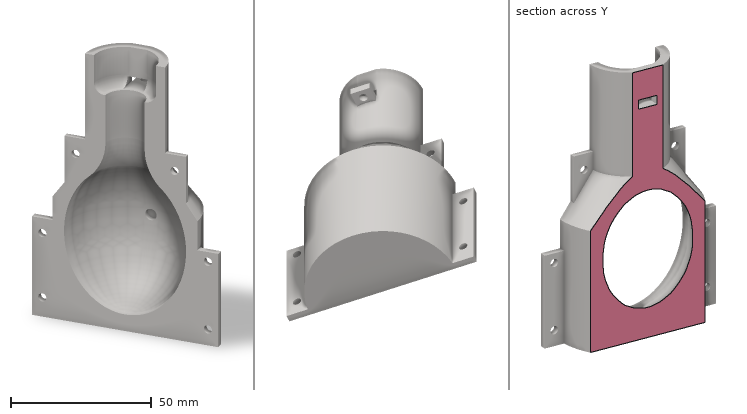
import cadquery as cq
import math

height = 105.2
barrel_radius = 28.0
barrel_top = 47.6
tube_radius = 15.5
cone_top = 64.6

bulb_radius = 23.6
bulb_half_height = 28.4
bulb_center_z = 34.8
bulb_top = 58.4
neck_radius = 7.6
neck_bottom = 71.9

socket_floor = 90.4
socket_radius = 12.0
socket_fillet = 4.0

flat_half_width = 3.8
flat_inner_y = 11.5
flat_outer_y = math.sqrt(tube_radius**2 - flat_half_width**2)
window_height = 3.4

tab_width = 7.3
tab_thickness = 2.7
tab_reach = 21.4
tab_hole_y = 18.1

flange_half_width = 36.0
lower_flange_thickness = 2.6
left_flange_height = 38.3
right_flange_height = 36.3
upper_flange_half_width = 23.5
upper_flange_thickness = 2.1
upper_flange_bottom = 53.4

hole_diameter = 3.2
screw_positions = [
    (-19.2, 65.6), (19.2, 65.6),
    (-32.0, 32.5), (32.0, 32.5),
    (-32.0, 7.5), (32.0, 6.2),
]

recess_diameter = 4.4
recess_z = 35.7
recess_floor_y = 25.7


def box(x_min, x_max, y_min, y_max, z_min, z_max):
    """Box between the given limits."""
    size = (x_max - x_min, y_max - y_min, z_max - z_min)
    return cq.Workplane("XY").box(*size, centered=False).translate((x_min, y_min, z_min))


def half_turn(profile):
    """Revolve a closed profile of radius and height through the +Y half."""
    full = profile.revolve(360, (0, 0, 0), (0, 1, 0))
    return full.intersect(box(-barrel_radius, barrel_radius, 0, barrel_radius, 0, height))


def make_shell():
    profile = (
        cq.Workplane("XZ")
        .lineTo(barrel_radius, 0)
        .lineTo(barrel_radius, barrel_top)
        .lineTo(tube_radius, cone_top)
        .lineTo(tube_radius, height)
        .lineTo(0, height)
        .close()
    )
    outside_flat = box(-barrel_radius, barrel_radius, flat_outer_y, barrel_radius, socket_floor, height)
    return half_turn(profile).cut(outside_flat)


def make_flanges():
    left = box(-flange_half_width, 0, 0, lower_flange_thickness, 0, left_flange_height)
    right = box(0, flange_half_width, 0, lower_flange_thickness, 0, right_flange_height)
    upper = box(
        -upper_flange_half_width, upper_flange_half_width,
        0, upper_flange_thickness,
        upper_flange_bottom, neck_bottom,
    )
    return left.union(right).union(upper)


def make_bulb():
    bulb_bottom = bulb_center_z - bulb_half_height
    rise = (bulb_top - bulb_center_z) / bulb_half_height
    bulb_top_radius = bulb_radius * math.sqrt(1 - rise**2)

    step = bulb_top_radius - neck_radius
    drop = neck_bottom - bulb_top
    shoulder_radius = (step**2 + drop**2) / (2 * step)
    half_angle = math.asin(drop / shoulder_radius) / 2
    shoulder_middle = (
        neck_radius + shoulder_radius * (1 - math.cos(half_angle)),
        neck_bottom - shoulder_radius * math.sin(half_angle),
    )
    ellipsoid_profile = (
        cq.Workplane("XZ")
        .moveTo(0, bulb_bottom)
        .parametricCurve(
            lambda t: (
                bulb_radius * math.sin(t * (math.pi - math.acos(rise))),
                bulb_center_z - bulb_half_height * math.cos(t * (math.pi - math.acos(rise))),
            ),
            makeWire=False,
        )
        .threePointArc(shoulder_middle, (neck_radius, neck_bottom))
        .lineTo(neck_radius, socket_floor)
        .lineTo(0, socket_floor)
        .close()
    )
    return half_turn(ellipsoid_profile)


def make_socket():
    corner_shift = socket_fillet * math.sqrt(0.5)
    profile = (
        cq.Workplane("XZ")
        .moveTo(0, socket_floor)
        .lineTo(socket_radius - socket_fillet, socket_floor)
        .threePointArc(
            (
                socket_radius - socket_fillet + corner_shift,
                socket_floor + socket_fillet - corner_shift,
            ),
            (socket_radius, socket_floor + socket_fillet),
        )
        .lineTo(socket_radius, height)
        .lineTo(0, height)
        .close()
    )
    beyond_flat = box(-flat_half_width, flat_half_width, flat_inner_y, barrel_radius, socket_floor, height)
    window = box(
        -flat_half_width, flat_half_width,
        0, barrel_radius,
        socket_floor, socket_floor + window_height,
    )
    return half_turn(profile).cut(beyond_flat).union(window)


def make_tab():
    start_y = (neck_radius + tube_radius) / 2
    tab = box(
        -tab_width / 2, tab_width / 2,
        start_y, tab_reach,
        socket_floor - tab_thickness, socket_floor,
    )
    hole = (
        cq.Workplane("XY", origin=(0, tab_hole_y, socket_floor - tab_thickness))
        .circle(hole_diameter / 2)
        .extrude(tab_thickness)
    )
    return tab.cut(hole)


def make_screw_holes():
    return (
        cq.Workplane("XZ")
        .pushPoints(screw_positions)
        .circle(hole_diameter / 2)
        .extrude(-barrel_radius)
    )


def make_recess():
    return (
        cq.Workplane("XZ")
        .center(0, recess_z)
        .circle(recess_diameter / 2)
        .extrude(-recess_floor_y)
    )


result = (
    make_shell()
    .union(make_flanges())
    .union(make_tab())
    .cut(make_bulb())
    .cut(make_socket())
    .cut(make_recess())
    .cut(make_screw_holes())
)